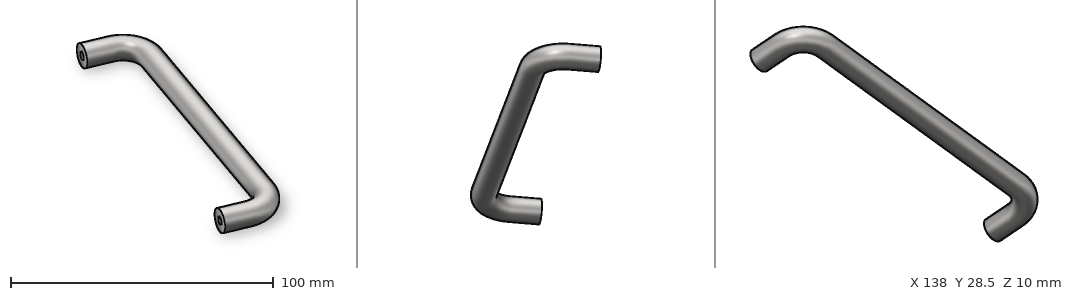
import cadquery as cq
import math

length = 138.0
projection = 28.5
bar_diameter = 10.0
bend_radius = 11.9

hole_diameter = 3.3
hole_depth = 10.0
drill_point_angle = 118.0

leg_x = (length - bar_diameter) / 2
grip_y = projection - bar_diameter / 2
bend_start_y = grip_y - bend_radius
bend_end_x = leg_x - bend_radius


def make_handle():
    """Sweep the round bar up one leg, along the grip and down the other leg."""
    centreline = (
        cq.Workplane("XY")
        .moveTo(-leg_x, 0)
        .lineTo(-leg_x, bend_start_y)
        .tangentArcPoint((-bend_end_x, grip_y), relative=False)
        .lineTo(bend_end_x, grip_y)
        .tangentArcPoint((leg_x, bend_start_y), relative=False)
        .lineTo(leg_x, 0)
    )
    section = cq.Workplane("XZ", origin=(-leg_x, 0, 0)).circle(bar_diameter / 2)
    return section.sweep(centreline)


def make_hole(x):
    """Drilled hole running in +Y from the end face of the leg at x."""
    hole_radius = hole_diameter / 2
    point_depth = hole_radius / math.tan(math.radians(drill_point_angle / 2))
    half_profile = (
        cq.Workplane("XY", origin=(x, 0, 0))
        .lineTo(hole_radius, 0)
        .lineTo(hole_radius, hole_depth)
        .lineTo(0, hole_depth + point_depth)
        .close()
    )
    return half_profile.revolve(360, (0, 0), (0, 1))


result = make_handle()
for hole_x in (-leg_x, leg_x):
    result = result.cut(make_hole(hole_x))